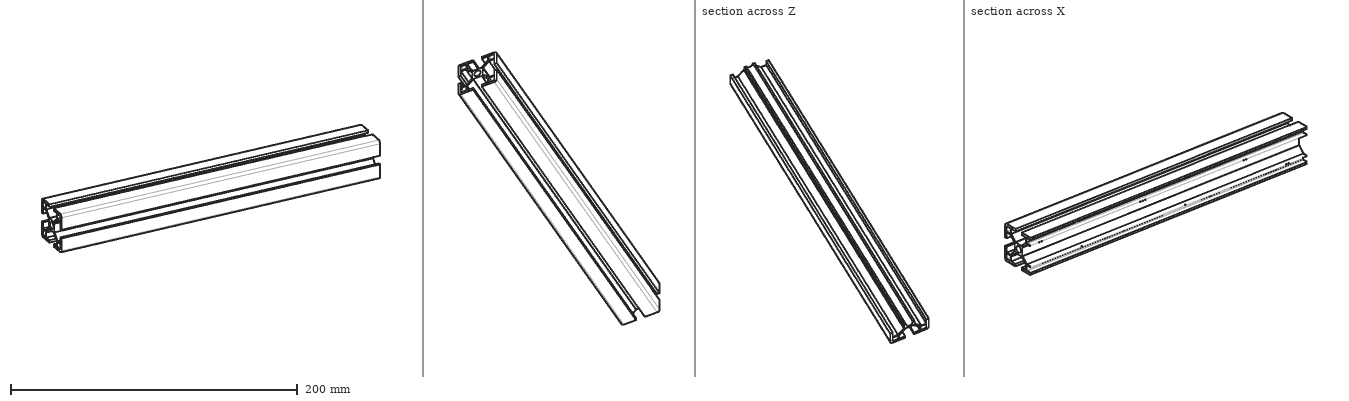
import cadquery as cq
SIDE = 30.0
LENGTH = 250.0
CORNER_RADIUS = 2.0

SLOT_OPENING = 6.8
SLOT_WIDTH = 16.0
LIP_THICKNESS = 2.0

CORE_SIDE = 8.4
CORE_BORE = 5.0
WEB_THICKNESS = 1.5
WALL_THICKNESS = 0.8
CAVITY_FILLET = 0.3

HALF_SIDE = SIDE / 2
HALF_CORE = CORE_SIDE / 2
HALF_SLOT = SLOT_WIDTH / 2
LIP_INNER = HALF_SIDE - LIP_THICKNESS
WEB_OFFSET = WEB_THICKNESS / 2 * 2**0.5
QUARTER_TURNS = (0, 90, 180, 270)
AXIS = (0, 1, 0)


def at_front_end():
    """Sketch plane on the -Y end; local x is +X and local y is +Z."""
    return cq.Workplane("XZ", origin=(0, -LENGTH / 2, 0))


def extrude_along_y(sketch):
    return sketch.extrude(-LENGTH)


def make_bar():
    bar = extrude_along_y(at_front_end().rect(SIDE, SIDE))
    return bar.edges("|Y").fillet(CORNER_RADIUS)


def make_slot():
    """Void of the +Z slot: a chamber with 45 degree flanks and a narrow opening between the lips."""
    half_floor = HALF_CORE - WEB_OFFSET
    wall_bottom = HALF_SLOT + WEB_OFFSET
    chamber = extrude_along_y(
        at_front_end()
        .moveTo(-half_floor, HALF_CORE)
        .lineTo(half_floor, HALF_CORE)
        .lineTo(HALF_SLOT, wall_bottom)
        .lineTo(HALF_SLOT, LIP_INNER)
        .lineTo(-HALF_SLOT, LIP_INNER)
        .lineTo(-HALF_SLOT, wall_bottom)
        .close()
    )
    opening_height = HALF_SIDE - HALF_CORE
    opening = extrude_along_y(
        at_front_end()
        .center(0, HALF_CORE + opening_height / 2)
        .rect(SLOT_OPENING, opening_height)
    )
    return chamber.union(opening)


def make_corner_cavity():
    """Square void in the +X +Z corner, between the lips and the slot walls."""
    inner = HALF_SLOT + WALL_THICKNESS
    size = LIP_INNER - inner
    middle = inner + size / 2
    cavity = extrude_along_y(at_front_end().center(middle, middle).rect(size, size))
    return cavity.edges("|Y").fillet(CAVITY_FILLET)


def make_bore():
    return extrude_along_y(at_front_end().circle(CORE_BORE / 2))


result = make_bar().cut(make_bore())
for angle in QUARTER_TURNS:
    result = result.cut(make_slot().rotate((0, 0, 0), AXIS, angle))
    result = result.cut(make_corner_cavity().rotate((0, 0, 0), AXIS, angle))